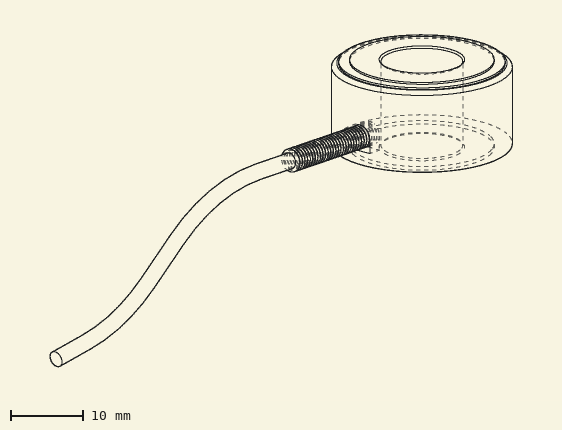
import cadquery as cq
import math

body_diameter = 24.85
rim_diameter = 23.4
lid_diameter = 22.9
pad_diameter = 19.85
bore_diameter = 11.2
bore_chamfer = 0.3
total_height = 12.7
rim_top = 12.2
lid_top = 12.4
bevel_height = 0.5
foot_height = 0.5

pocket_width = 3.4
pocket_floor = 2.5
pocket_end_y = -10.35

cable_diameter = 2.25
cable_height = 4.6
cable_root_y = -8.6
first_bend_y = -33.0
bend_radius = 25.9
slope_angle = 39.2
slope_length = 7.6
tail_angle = 9.0
cable_reach = -73.9

wire_diameter = 0.5
coil_count = 32
spring_start_y = -10.1


def disc(diameter, bottom, top):
    return cq.Workplane("XY").workplane(offset=bottom).circle(diameter / 2).extrude(top - bottom)


def ring_body():
    bevel_width = (body_diameter - rim_diameter) / 2
    shell = disc(body_diameter, foot_height, rim_top)
    shell = shell.faces(">Z").edges().chamfer(bevel_height, bevel_width)
    lid = disc(lid_diameter, rim_top, lid_top)
    foot_and_pad = disc(pad_diameter, 0, total_height)
    bore = disc(bore_diameter, 0, total_height)
    body = shell.union(lid).union(foot_and_pad).cut(bore)
    bore_edges = cq.selectors.RadiusNthSelector(0)
    return body.edges("%CIRCLE").edges(bore_edges).chamfer(bore_chamfer)


def cable_pocket():
    """Arched recess in the side wall, with a flat floor, where the spring enters."""
    half_width = pocket_width / 2
    return (
        cq.Workplane("XZ", origin=(0, pocket_end_y, 0))
        .moveTo(-half_width, pocket_floor)
        .lineTo(half_width, pocket_floor)
        .lineTo(half_width, cable_height)
        .threePointArc((0, cable_height + half_width), (-half_width, cable_height))
        .close()
        .extrude(body_diameter / 2)
    )


def bend_end(start, start_angle, end_angle):
    """End of an arc that turns from one downward slope angle (degrees) to another."""
    turn = math.copysign(bend_radius, end_angle - start_angle)
    a = math.radians(start_angle)
    b = math.radians(end_angle)
    return (start[0] - turn * (math.sin(b) - math.sin(a)), start[1] - turn * (math.cos(a) - math.cos(b)))


def straight_end(start, angle, length):
    a = math.radians(angle)
    return (start[0] - length * math.cos(a), start[1] - length * math.sin(a))


def cable():
    root = (cable_root_y, cable_height)
    bend_1 = (first_bend_y, cable_height)
    bend_1_mid = bend_end(bend_1, 0, slope_angle / 2)
    slope = bend_end(bend_1, 0, slope_angle)
    bend_2 = straight_end(slope, slope_angle, slope_length)
    bend_2_mid = bend_end(bend_2, slope_angle, (slope_angle + tail_angle) / 2)
    tail = bend_end(bend_2, slope_angle, tail_angle)
    tail_rad = math.radians(tail_angle)
    end_overhang = cable_diameter / 2 * math.sin(tail_rad)
    tail_length = (tail[0] - cable_reach - end_overhang) / math.cos(tail_rad)
    tip = straight_end(tail, tail_angle, tail_length)
    path = (
        cq.Workplane("YZ")
        .moveTo(*root)
        .lineTo(*bend_1)
        .threePointArc(bend_1_mid, slope)
        .lineTo(*bend_2)
        .threePointArc(bend_2_mid, tail)
        .lineTo(*tip)
    )
    section = cq.Workplane("XZ", origin=(0, cable_root_y, cable_height)).circle(cable_diameter / 2)
    return section.sweep(path)


def spring():
    """Close-wound coils as a row of half-round ridges around the cable."""
    ridge_base = (cable_diameter + wire_diameter) / 2
    ridge_top = ridge_base + wire_diameter / 2
    outline = cq.Workplane("XY").moveTo(0, spring_start_y).lineTo(ridge_base, spring_start_y)
    for coil in range(coil_count):
        coil_start = spring_start_y - coil * wire_diameter
        crest = (ridge_top, coil_start - wire_diameter / 2)
        outline = outline.threePointArc(crest, (ridge_base, coil_start - wire_diameter))
    spring_end_y = spring_start_y - coil_count * wire_diameter
    profile = outline.lineTo(0, spring_end_y).close()
    return profile.revolve(360, (0, 0), (0, 1)).translate((0, 0, cable_height))


result = ring_body().cut(cable_pocket()).union(cable()).union(spring())